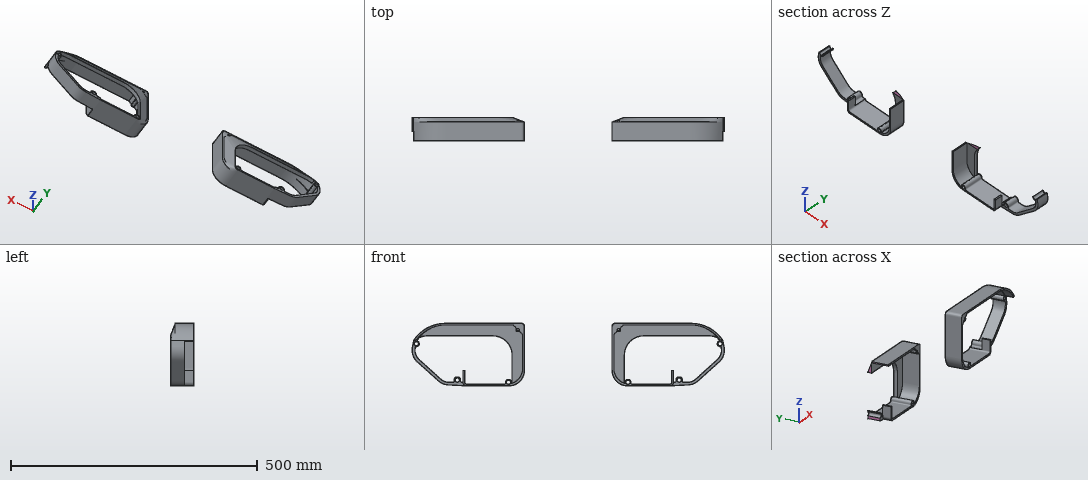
import cadquery as cq
import math

PAIR_LENGTH = 633.0
FRAME_LENGTH = 228.0
FRAME_HEIGHT = 127.0
FRAME_DEPTH = 47.5
WALL = 4.0
REAR_WALL = 6.0

NOTCH_DEPTH = 19.0
BACK_PANEL_Y = 38.5
BEVEL_START_Y = 38.0

ARC_END = (3.0, 92.5)
ARC_CORNER_X = 26.5
ARC_RADIUS = 78.5
NOSE_CORNER = (-2.7, 61.0)
CHIN_CORNER = (62.0, 2.5)
FLOOR_START_X = 109.0
BEND_RADIUS = 31.5
TOP_CORNER_RADIUS = 6.5

BEVEL_DROP = 24.5
BEVEL_WIDTH = 24.0
BACK_ARC_CORNER_X = 16.5
BACK_ARC_RADIUS = 44.0
BACK_TOP_CORNER_RADIUS = 40.0
BACK_LOW_CORNER_RADIUS = 7.5
BACK_RIM = 1.0

TAB_X = 103.0
TAB_TOP = 31.5
TAB_BEND = 4.0

LINING_ARC_END = (9.5, 90.5)
LINING_ARC_CORNER_X = 29.0
LINING_ARC_RADIUS = 66.0
LINING_NOSE = (4.0, 63.0)
LINING_CHIN_X = 65.0

POST_HOLE = 8.0
POST_FILLET = 2.5
SMALL_POST = 12.0
LARGE_POST = 13.0
NOSE_POST = (9.0, 85.5)
SILL_POST = (92.0, 12.0)
HEEL_POST = (195.5, 7.5)
PAD_HOLE = 4.5
PAD_BOSS = 8.0
PAD_INSET = 13.0

SAME_POINT = 6.33e-06


def rounded_wire(corners, y):
    """Closed wire at depth y through (x, z, radius) corners, each rounded by a tangent arc."""
    path = []
    for i, (x, z, radius) in enumerate(corners):
        corner = cq.Vector(x, y, z)
        if radius == 0:
            path.append((corner, corner, corner))
            continue
        before = corners[i - 1]
        after = corners[(i + 1) % len(corners)]
        to_before = (cq.Vector(before[0], y, before[1]) - corner).normalized()
        to_after = (cq.Vector(after[0], y, after[1]) - corner).normalized()
        half_angle = to_before.getAngle(to_after) / 2
        reach = radius / math.tan(half_angle)
        bulge = radius / math.sin(half_angle) - radius
        middle = corner + (to_before + to_after).normalized() * bulge
        path.append((corner + to_before * reach, middle, corner + to_after * reach))

    edges = []
    for i, (start, middle, end) in enumerate(path):
        if (end - start).Length > SAME_POINT:
            edges.append(cq.Edge.makeThreePointArc(start, middle, end))
        following = path[(i + 1) % len(path)][0]
        if (following - end).Length > SAME_POINT:
            edges.append(cq.Edge.makeLine(end, following))
    return cq.Wire.assembleEdges(edges)


def side_prism(wire, depth):
    """Solid from a closed wire, running from the wire toward +Y."""
    return cq.Workplane(cq.Solid.extrudeLinear(wire, [], cq.Vector(0, depth, 0)))


def polygon_prism(points, start_y, end_y):
    wire = rounded_wire([(x, z, 0) for x, z in points], start_y)
    return side_prism(wire, end_y - start_y)


def rod(center, diameter, start_y, end_y):
    plane = cq.Workplane("XZ", origin=(0, start_y, 0))
    return plane.center(*center).circle(diameter / 2).extrude(start_y - end_y)


def outline(y):
    """Full outer outline of a frame."""
    return rounded_wire([
        (*ARC_END, 0),
        (ARC_CORNER_X, FRAME_HEIGHT, ARC_RADIUS),
        (FRAME_LENGTH, FRAME_HEIGHT, TOP_CORNER_RADIUS),
        (FRAME_LENGTH, 0, BEND_RADIUS),
        (FLOOR_START_X, 0, 0),
        (*CHIN_CORNER, BEND_RADIUS),
        (*NOSE_CORNER, BEND_RADIUS),
    ], y)


def back_outline(y):
    """Outline of the back face, drawn in along the top and the inner upright."""
    back_top = FRAME_HEIGHT - BEVEL_DROP
    back_side = FRAME_LENGTH - BEVEL_WIDTH
    return rounded_wire([
        (*ARC_END, 0),
        (BACK_ARC_CORNER_X, back_top, BACK_ARC_RADIUS),
        (back_side, back_top, BACK_TOP_CORNER_RADIUS),
        (back_side, 0, BACK_LOW_CORNER_RADIUS),
        (FLOOR_START_X, 0, 0),
        (*CHIN_CORNER, BEND_RADIUS),
        (*NOSE_CORNER, BEND_RADIUS),
    ], y)


def inset(wire, distance):
    return wire.offset2D(-distance, "intersection")[0]


def envelope():
    """Outer shape of a frame without any hollow."""
    straight = side_prism(outline(0), BEVEL_START_Y)
    taper = cq.Solid.makeLoft([outline(BEVEL_START_Y), back_outline(FRAME_DEPTH)], True)
    return straight.union(cq.Workplane(taper))


def hollow():
    """Inside of a frame in front of the back panel, lined more thickly along nose and underside."""
    inner_top = FRAME_HEIGHT - WALL
    inner_side = FRAME_LENGTH - WALL
    tab_inner_x = TAB_X + WALL
    wire = rounded_wire([
        (*LINING_ARC_END, 0),
        (LINING_ARC_CORNER_X, inner_top, LINING_ARC_RADIUS),
        (inner_side, inner_top, TOP_CORNER_RADIUS - WALL),
        (inner_side, WALL, BEND_RADIUS),
        (tab_inner_x, WALL, TAB_BEND),
        (tab_inner_x, WALL + TAB_BEND, 0),
        (LINING_CHIN_X, WALL + TAB_BEND, BEND_RADIUS - REAR_WALL),
        (*LINING_NOSE, BEND_RADIUS - REAR_WALL),
    ], 0)
    return side_prism(wire, BACK_PANEL_Y)


def front_hollow():
    """Thinner wall under the top arc, in front of the notch depth."""
    inside = side_prism(inset(outline(0), WALL), NOTCH_DEPTH)
    middle_x = FRAME_LENGTH / 2
    outer_half = polygon_prism(
        [(0, 0), (middle_x, 0), (middle_x, FRAME_HEIGHT), (0, FRAME_HEIGHT)], 0, NOTCH_DEPTH
    )
    return inside.intersect(outer_half)


def back_opening():
    """Opening in the back panel, leaving a flat rim inside the back outline and the lining."""
    depth = FRAME_DEPTH - BACK_PANEL_Y
    within_rim = side_prism(inset(back_outline(BACK_PANEL_Y), BACK_RIM), depth)
    within_lining = hollow().translate((0, depth, 0))
    return within_rim.intersect(within_lining)


def front_notch():
    """Space in front of the lower outer side, from the end of the top arc to the tab."""
    end_x, end_z = ARC_END
    cut_length = 2 * REAR_WALL
    slope = math.atan2(FRAME_HEIGHT - end_z, ARC_CORNER_X - end_x)
    inner_end = (end_x + cut_length * math.sin(slope), end_z - cut_length * math.cos(slope))
    tab_inner_x = TAB_X + WALL
    return polygon_prism([
        (-WALL, end_z),
        ARC_END,
        inner_end,
        (tab_inner_x, inner_end[1]),
        (tab_inner_x, -WALL),
        (-WALL, -WALL),
    ], 0, NOTCH_DEPTH)


def tab():
    """Upright tab that curves into the floor."""
    inner_x = TAB_X + WALL
    floor_x = inner_x + TAB_BEND
    outer_bend = TAB_BEND + WALL
    wire = rounded_wire([
        (TAB_X, TAB_TOP, 0),
        (inner_x, TAB_TOP, 0),
        (inner_x, WALL, TAB_BEND),
        (floor_x, WALL, 0),
        (floor_x, 0, 0),
        (TAB_X, 0, outer_bend),
    ], 0)
    return side_prism(wire, NOTCH_DEPTH)


def pad_center():
    return FRAME_LENGTH - PAD_INSET, FRAME_HEIGHT - PAD_INSET


def corner_pad():
    """Triangular pad with a round boss in the upper inner corner."""
    diagonal = 2 * PAD_INSET
    corner_x = FRAME_LENGTH - WALL / 2
    corner_z = FRAME_HEIGHT - WALL / 2
    leg = diagonal - WALL / 2
    triangle = polygon_prism([
        (FRAME_LENGTH - leg, corner_z),
        (corner_x, corner_z),
        (corner_x, FRAME_HEIGHT - leg),
    ], 0, BACK_PANEL_Y)
    return triangle.union(rod(pad_center(), PAD_BOSS, 0, BACK_PANEL_Y))


def post_base(center, diameter, right_x):
    """Selector for the edges along Y where a post meets the floor, left of right_x."""
    x, z = center
    return cq.selectors.BoxSelector((x - diameter, 0, WALL / 2), (right_x, FRAME_DEPTH, z))


def fillet_post_bases(body):
    """Blend both sides of the sill post and the floor side of the heel post into the floor."""
    sill_base = post_base(SILL_POST, LARGE_POST, SILL_POST[0] + LARGE_POST / 2)
    heel_base = post_base(HEEL_POST, SMALL_POST, HEEL_POST[0])
    for base in (sill_base, heel_base):
        body = body.edges("|Y").edges(base).fillet(POST_FILLET)
    return body


def frame():
    """Left-hand frame: shell, tab, pad and screw posts in one solid."""
    body = envelope().cut(hollow()).cut(front_hollow()).cut(back_opening()).cut(front_notch())
    body = body.union(tab()).union(corner_pad())

    posts = [
        (NOSE_POST, SMALL_POST, NOTCH_DEPTH),
        (SILL_POST, LARGE_POST, NOTCH_DEPTH),
        (HEEL_POST, SMALL_POST, 0),
    ]
    for center, diameter, start_y in posts:
        body = body.union(rod(center, diameter, start_y, FRAME_DEPTH))
    body = fillet_post_bases(body)
    for center, diameter, start_y in posts:
        body = body.cut(rod(center, POST_HOLE, start_y, FRAME_DEPTH))
    return body.cut(rod(pad_center(), PAD_HOLE, 0, FRAME_DEPTH))


left_frame = frame()
right_frame = left_frame.mirror("YZ", (PAIR_LENGTH / 2, 0, 0))

result = cq.Compound.makeCompound([body.val() for body in (left_frame, right_frame)])